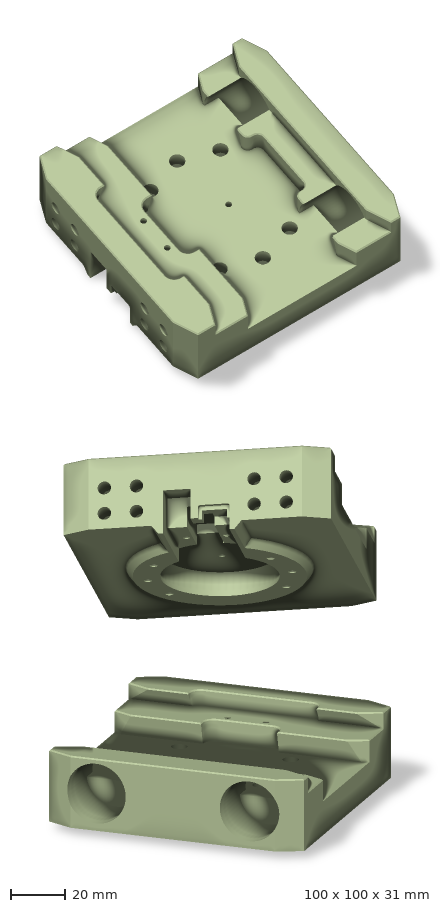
import cadquery as cq
import math

SIZE = 100.0
HALF = SIZE / 2
HEIGHT = 31.0
BASE_Z = 3.2
FLOOR_Z = 16.3
LEDGE_Z = 24.9
EDGE_CHAMFER = 0.5
CORNER_X = 40.0
LEDGE_KNEE_X = 42.5
CORNER_SLOPE = 4.2 / 10
CLEARANCE = 1.0

REAR_WALL_Y = 37.4
REAR_LEDGE_Y = 22.7
REAR_NOTCH_HALF = 15.2
REAR_NOTCH_Y = 28.7
REAR_NOTCH_R = 2.7

FRONT_WALL_Y = -34.2
FRONT_WALL_KNEE_X = 41.0
FRONT_WALL_FOOT_Y = -37.6
FRONT_WALL_NOTCH_HALF = 25.1
FRONT_WALL_NOTCH_Y = -39.9
FRONT_LEDGE_Y = -20.1
FRONT_LEDGE_FOOT_Y = -22.1
FRONT_LEDGE_NOTCH_HALF = 14.9
FRONT_LEDGE_NOTCH_Y = -26.4
FRONT_NOTCH_R = 8.2 / 2

BORE_D = 23.1
BORE_X = 30.0
BORE_Z = 17.6
BORE_END_Y = 29.1

BOSS_BOTTOM_R = 32.1
BOSS_TOP_R = BOSS_BOTTOM_R + 2.7
PORT_X = 0.4
NECK_BOTTOM_HALF = 14.2
NECK_TOP_HALF = 16.9

POCKET_R = 22.0
POCKET_TOP_Z = 9.3
PORT_HALF = 12.4
PORT_LEFT = PORT_X - PORT_HALF
PORT_RIGHT = PORT_X + PORT_HALF
PORT_TOP_Z = 5.1
PASSAGE_HALF = 5.1
PASSAGE_TOP_Z = 13.0
PORT_WALL = 5.5
ROOM_DEPTH = 9.0
TALL_RIGHT = -1.8
TALL_TOP_Z = 16.7
WINDOW_LEFT = 1.0
WINDOW_TOP_Z = 10.1
WINDOW_DEPTH = 1.6
WINDOW_CORNER_R = 0.8
WINDOW_LIP_X = 1.2
WINDOW_LIP_Z = 1.6

BOLT_CIRCLE_R = 27.0
BOLT_ANGLES = (0, 36, 144, 180, 216, 324)
BOLT_D = 3.0
BOLT_HEAD_D = 6.0
BOLT_HEAD_DEPTH = 6.0
PIN_D = 2.5
CENTRE_PIN_Y = 3.9
PORT_PIN_SPACING = 15.0
PORT_PIN_Y = -29.5
SIDE_HOLE_D = 5.0
SIDE_HOLE_XS = (-34.0, -22.0, 22.0, 34.0)
SIDE_HOLE_ZS = (9.2, 19.1)
SIDE_HOLE_DEPTH = 10.0
DRILL_TIP_ANGLE = 118.0


def corner_y(y, knee_x, outward):
    """Y at the side of the block of a slanted corner starting at (knee_x, y)."""
    return y + outward * (HALF - knee_x) * CORNER_SLOPE


def box(x0, x1, y0, y1, z0, z1):
    """Box between two limits on each axis."""
    return cq.Workplane("XY").box(x1 - x0, y1 - y0, z1 - z0, centered=False).translate((x0, y0, z0))


def prism(outline, z0, z1):
    """Upright body on an outline, closed to a solid between two heights."""
    return outline.close().extrude(z1 - z0).translate((0, 0, z0))


def rail_outline(outer, y, knee_x):
    """Open outline of a rail, from inner corner (knee_x, y) round the outside to (-knee_x, y).

    outer is 1 for the rear rail and -1 for the front rail. The inner side is left open.
    """
    outer_side_y = outer * (HALF - (HALF - CORNER_X) * CORNER_SLOPE)
    inner_side_y = corner_y(y, knee_x, outer)
    return (
        cq.Workplane("XY")
        .moveTo(knee_x, y)
        .lineTo(HALF, inner_side_y)
        .lineTo(HALF, outer_side_y)
        .lineTo(CORNER_X, outer * HALF)
        .lineTo(-CORNER_X, outer * HALF)
        .lineTo(-HALF, outer_side_y)
        .lineTo(-HALF, inner_side_y)
        .lineTo(-knee_x, y)
    )


def rail_step(outline, top_z):
    """One step of a rail, with its upper edges broken."""
    return prism(outline, BASE_Z, top_z).faces(">Z").edges().chamfer(EDGE_CHAMFER)


def front_step(y, knee_x, notch_half, notch_y, top_z):
    """Step of the front rail with a wide notch that has rounded inner corners."""
    r = FRONT_NOTCH_R
    outline = (
        rail_outline(-1, y, knee_x)
        .lineTo(-notch_half, y)
        .lineTo(-notch_half, notch_y + r)
        .radiusArc((-notch_half + r, notch_y), -r)
        .lineTo(notch_half - r, notch_y)
        .radiusArc((notch_half, notch_y + r), -r)
        .lineTo(notch_half, y)
    )
    return rail_step(outline, top_z)


def undercut(y, foot_y, foot_z, top_z):
    """Wedge removed below the overhanging inner edge of a front step."""
    edge_z = top_z - EDGE_CHAMFER
    return (
        cq.Workplane("YZ")
        .polyline([(y, edge_z), (y + CLEARANCE, edge_z), (y + CLEARANCE, foot_z), (foot_y, foot_z)])
        .close()
        .extrude(HALF, both=True)
    )


def make_front_rail():
    """Front rail of two notched steps, both undercut towards the floor."""
    ledge = front_step(
        FRONT_LEDGE_Y, LEDGE_KNEE_X, FRONT_LEDGE_NOTCH_HALF, FRONT_LEDGE_NOTCH_Y, LEDGE_Z
    )
    ledge = ledge.cut(undercut(FRONT_LEDGE_Y, FRONT_LEDGE_FOOT_Y, FLOOR_Z, LEDGE_Z))
    wall = front_step(
        FRONT_WALL_Y, FRONT_WALL_KNEE_X, FRONT_WALL_NOTCH_HALF, FRONT_WALL_NOTCH_Y, HEIGHT
    )
    wall = wall.cut(undercut(FRONT_WALL_Y, FRONT_WALL_FOOT_Y, LEDGE_Z, HEIGHT))
    return ledge.union(wall)


def make_rear_rail():
    """Rear rail of two steps, crossed from end to end by two round bores."""
    r = REAR_NOTCH_R
    side = REAR_NOTCH_HALF
    ledge_outline = (
        rail_outline(1, REAR_LEDGE_Y, LEDGE_KNEE_X)
        .lineTo(-side - r, REAR_LEDGE_Y)
        .radiusArc((-side, REAR_LEDGE_Y + r), -r)
        .lineTo(-side, REAR_NOTCH_Y - r)
        .radiusArc((-side + r, REAR_NOTCH_Y), r)
        .lineTo(side - r, REAR_NOTCH_Y)
        .radiusArc((side, REAR_NOTCH_Y - r), r)
        .lineTo(side, REAR_LEDGE_Y + r)
        .radiusArc((side + r, REAR_LEDGE_Y), -r)
    )
    ledge = rail_step(ledge_outline, LEDGE_Z)
    wall = rail_step(rail_outline(1, REAR_WALL_Y, CORNER_X), HEIGHT)
    rail = ledge.union(wall)
    for x in (-BORE_X, BORE_X):
        rail = rail.cut(make_bore(x, REAR_LEDGE_Y - CLEARANCE))
    return rail


def make_bore(x, start_y):
    """Round bore along Y from start_y out through the rear face."""
    return (
        cq.Workplane("XZ", origin=(x, start_y, BORE_Z))
        .circle(BORE_D / 2)
        .extrude(-(HALF + CLEARANCE - start_y))
    )


def make_floor():
    """Plate under both rails, with the slanted corners of the block."""
    side_y = corner_y(HALF, CORNER_X, -1)
    corner = [(CORNER_X, HALF), (HALF, side_y), (HALF, -side_y), (CORNER_X, -HALF)]
    opposite = [(-x, -y) for x, y in corner]
    return prism(cq.Workplane("XY").polyline(corner + opposite), BASE_Z, FLOOR_Z)


def make_boss():
    """Tapered round boss with a tapered neck running to the front face."""
    cone = cq.Workplane("XY").add(cq.Solid.makeCone(BOSS_BOTTOM_R, BOSS_TOP_R, BASE_Z))
    neck = (
        cq.Workplane("XZ")
        .polyline([
            (PORT_X - NECK_BOTTOM_HALF, 0),
            (PORT_X + NECK_BOTTOM_HALF, 0),
            (PORT_X + NECK_TOP_HALF, BASE_Z),
            (PORT_X - NECK_TOP_HALF, BASE_Z),
        ])
        .close()
        .extrude(HALF)
    )
    return cone.union(neck)


def make_port():
    """Round pocket below the floor and the stepped openings that reach it from the front."""
    room_y = -HALF + ROOM_DEPTH
    pocket = cq.Workplane("XY").circle(POCKET_R).extrude(POCKET_TOP_Z)
    channel = box(PORT_LEFT, PORT_RIGHT, -HALF, 0, 0, PORT_TOP_Z)
    pocket_front_y = -math.sqrt(POCKET_R**2 - PASSAGE_HALF**2)
    passage = box(
        PORT_X - PASSAGE_HALF, PORT_X + PASSAGE_HALF, PORT_WALL - HALF, pocket_front_y, 0, PASSAGE_TOP_Z
    )
    tall_room = box(PORT_LEFT, TALL_RIGHT, -HALF, room_y, 0, TALL_TOP_Z)
    window = box(WINDOW_LEFT, PORT_RIGHT, -HALF, -HALF + WINDOW_DEPTH, 0, WINDOW_TOP_Z)
    window = window.faces(">Z").edges("|Y").fillet(WINDOW_CORNER_R)
    window_room = box(
        WINDOW_LEFT + WINDOW_LIP_X, PORT_RIGHT - WINDOW_LIP_X, -HALF, room_y, 0, WINDOW_TOP_Z - WINDOW_LIP_Z
    )
    return pocket.union(channel).union(passage).union(tall_room).union(window).union(window_room)


def hole(x, y, diameter, z0, z1):
    """Upright cylinder to cut a hole between two heights."""
    return cq.Workplane("XY", origin=(x, y, z0)).circle(diameter / 2).extrude(z1 - z0)


def make_side_hole(x, z):
    """Blind hole from the front face with a drill-point end."""
    radius = SIDE_HOLE_D / 2
    tip = radius / math.tan(math.radians(DRILL_TIP_ANGLE / 2))
    profile = [(0, 0), (radius, 0), (radius, SIDE_HOLE_DEPTH), (0, SIDE_HOLE_DEPTH + tip)]
    drill = cq.Workplane("XY").polyline(profile).close().revolve(360, (0, 0, 0), (0, 1, 0))
    return drill.translate((x, -HALF, z))


block = make_floor().union(make_front_rail()).union(make_rear_rail())
for bore_x in (-BORE_X, BORE_X):
    block = block.cut(make_bore(bore_x, BORE_END_Y))
block = block.union(make_boss()).cut(make_port())

for angle in BOLT_ANGLES:
    bolt_x = BOLT_CIRCLE_R * math.cos(math.radians(angle))
    bolt_y = BOLT_CIRCLE_R * math.sin(math.radians(angle))
    block = block.cut(hole(bolt_x, bolt_y, BOLT_D, 0, FLOOR_Z))
    block = block.cut(hole(bolt_x, bolt_y, BOLT_HEAD_D, FLOOR_Z - BOLT_HEAD_DEPTH, FLOOR_Z))

block = block.cut(hole(0, CENTRE_PIN_Y, PIN_D, 0, FLOOR_Z))
for side in (-1, 1):
    block = block.cut(hole(PORT_X + side * PORT_PIN_SPACING / 2, PORT_PIN_Y, PIN_D, 0, LEDGE_Z))

for hole_x in SIDE_HOLE_XS:
    for hole_z in SIDE_HOLE_ZS:
        block = block.cut(make_side_hole(hole_x, hole_z))

result = block